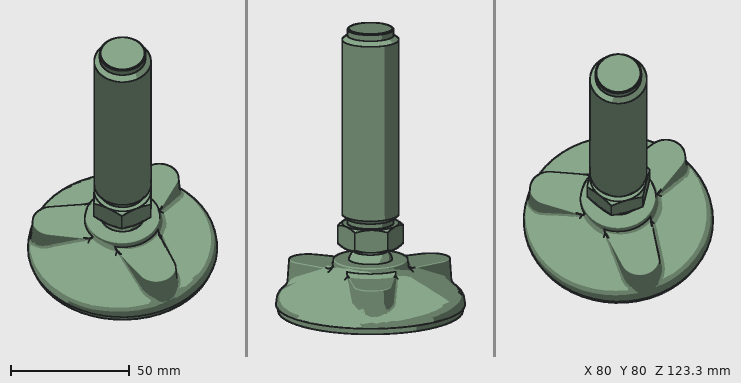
import cadquery as cq
import math

TOTAL_HEIGHT = 123.3
LIP_TOP = 2.7
RIM_TOP = 4.8
CONE_BOTTOM = 8.3
CONE_TOP = 17.1
RIB_TOP = 18.7
RIB_BLEND_TOP = 20.7
BALL_CENTER = 19.5
COLLAR_TOP = 22.5
HEX_BOTTOM = 28.4
HEX_TOP = 38.2
RELIEF_TOP = 40.3
PILOT_HEIGHT = 3.1

LIP_RADIUS = 78.2 / 2
FOOT_RADIUS = 80.0 / 2
RIM_RADIUS = 39.7
CONE_BOTTOM_RADIUS = 37.2
CONE_TOP_RADIUS = 18.7
COLLAR_RADIUS = 15.8
COLLAR_EDGE = 0.5

RIB_COUNT = 3
FIRST_RIB_ANGLE = 90.0
RIB_END_DISTANCE = 29.8
RIB_END_RADIUS = 8.1
RIB_FLARE = 7.0
RIB_DRAFT = 4.0
RIB_BOTTOM = 5.5
RIB_EDGE = 0.4
RIB_FOOT_FILLET = 2.5

BALL_RADIUS = 19.5 / 2
NECK_RADIUS = 14.3 / 2
HEX_FLATS = 24.0
HEX_CHAMFER_ANGLE = 30.0
SHAFT_RADIUS = 24.0 / 2
PILOT_RADIUS = 19.5 / 2
SHAFT_CHAMFER = 1.8
PILOT_CHAMFER = 0.5

HEX_CORNER_RADIUS = HEX_FLATS / 2 / math.cos(math.pi / 6)
CONE_SLOPE = (CONE_TOP - CONE_BOTTOM) / (CONE_BOTTOM_RADIUS - CONE_TOP_RADIUS)
CONE_ANGLE = math.atan(CONE_SLOPE)


def turned(profile):
    """Close a radius-height profile and revolve it about the vertical axis."""
    return profile.close().revolve(360, (0, 0, 0), (0, 1, 0))


def foot_body():
    """Lip, rim, rounded shoulder, cone and collar, without ribs or blends."""
    profile = (
        cq.Workplane("XZ")
        .lineTo(LIP_RADIUS, 0)
        .lineTo(LIP_RADIUS, LIP_TOP)
        .lineTo(FOOT_RADIUS, LIP_TOP)
        .lineTo(RIM_RADIUS, RIM_TOP)
        .tangentArcPoint((CONE_BOTTOM_RADIUS, CONE_BOTTOM), relative=False)
        .lineTo(COLLAR_RADIUS, CONE_TOP + (CONE_TOP_RADIUS - COLLAR_RADIUS) * CONE_SLOPE)
        .lineTo(COLLAR_RADIUS, COLLAR_TOP - COLLAR_EDGE)
        .tangentArcPoint((COLLAR_RADIUS - COLLAR_EDGE, COLLAR_TOP), relative=False)
        .lineTo(0, COLLAR_TOP)
    )
    return turned(profile)


def rib_outline(height):
    """Plan of a rib pointing along X at the given height; the draft widens it downwards."""
    flare = math.radians(RIB_FLARE)
    end_radius = RIB_END_RADIUS + (RIB_TOP - height) * math.tan(math.radians(RIB_DRAFT))
    tangent_x = RIB_END_DISTANCE + end_radius * math.sin(flare)
    tangent_y = end_radius * math.cos(flare)
    root_y = tangent_y + tangent_x * math.tan(flare)
    return (
        cq.Workplane("XY", origin=(0, 0, height))
        .moveTo(0, -root_y)
        .lineTo(tangent_x, -tangent_y)
        .threePointArc((RIB_END_DISTANCE + end_radius, 0), (tangent_x, tangent_y))
        .lineTo(0, root_y)
        .close()
    )


def rib():
    """Drafted finger with a round outer end and a flat top."""
    return (
        rib_outline(RIB_BOTTOM)
        .extrude(RIB_TOP - RIB_BOTTOM, taper=RIB_DRAFT)
        .faces(">Z").edges("not(<X)").fillet(RIB_EDGE)
    )


def on_each_rib(shape):
    """Copies of a shape made for a rib along X, one at every rib."""
    step = 360 / RIB_COUNT
    return [shape.rotate((0, 0, 0), (0, 0, 1), FIRST_RIB_ANGLE + i * step) for i in range(RIB_COUNT)]


def meets_foot(edge):
    """True for the curves where rib walls run into the cone and its rounded shoulder."""
    return edge.geomType() not in ("LINE", "CIRCLE") and edge.BoundingBox().zmax < RIB_TOP - RIB_EDGE / 2


def cone_blend():
    """Hollow ring leading from the cone up to the collar."""
    arc_radius = (CONE_TOP_RADIUS - COLLAR_RADIUS) / (1 - math.sin(CONE_ANGLE))
    arc_top = CONE_TOP + arc_radius * math.cos(CONE_ANGLE)
    profile = (
        cq.Workplane("XZ")
        .moveTo(0, RIB_BOTTOM)
        .lineTo(CONE_TOP_RADIUS, RIB_BOTTOM)
        .lineTo(CONE_TOP_RADIUS, CONE_TOP)
        .radiusArc((COLLAR_RADIUS, arc_top), arc_radius)
        .lineTo(0, arc_top)
    )
    return turned(profile)


def rib_blend():
    """Hollow step leading from the flat top of a rib up to the collar."""
    run = CONE_TOP_RADIUS - COLLAR_RADIUS
    rise = RIB_BLEND_TOP - RIB_TOP
    arc_radius = (run**2 + rise**2) / (2 * rise)
    ring = turned(
        cq.Workplane("XZ")
        .moveTo(0, CONE_TOP)
        .lineTo(CONE_TOP_RADIUS, CONE_TOP)
        .lineTo(CONE_TOP_RADIUS, RIB_TOP)
        .radiusArc((COLLAR_RADIUS, RIB_BLEND_TOP), arc_radius)
        .lineTo(0, RIB_BLEND_TOP)
    )
    return rib_outline(RIB_TOP).extrude(RIB_BLEND_TOP - RIB_TOP).intersect(ring)


def foot():
    """Foot body with filleted ribs, then the blends up to the collar."""
    body = foot_body()
    for finger in on_each_rib(rib()):
        body = body.union(finger)
    foot_edges = [edge for edge in body.edges().vals() if meets_foot(edge)]
    body = body.newObject(foot_edges).fillet(RIB_FOOT_FILLET)
    body = body.union(cone_blend())
    for step in on_each_rib(rib_blend()):
        body = body.union(step)
    return body


def spindle():
    """Ball joint, neck, relief, threaded shaft blank and end pilot turned as one piece."""
    neck_rise = math.sqrt(BALL_RADIUS**2 - NECK_RADIUS**2)
    profile = (
        cq.Workplane("XZ")
        .moveTo(0, BALL_CENTER)
        .lineTo(BALL_RADIUS, BALL_CENTER)
        .radiusArc((NECK_RADIUS, BALL_CENTER + neck_rise), -BALL_RADIUS)
        .lineTo(NECK_RADIUS, HEX_BOTTOM)
        .lineTo(PILOT_RADIUS, HEX_BOTTOM)
        .lineTo(PILOT_RADIUS, RELIEF_TOP)
        .lineTo(SHAFT_RADIUS, RELIEF_TOP + SHAFT_CHAMFER)
        .lineTo(SHAFT_RADIUS, TOTAL_HEIGHT - PILOT_HEIGHT - SHAFT_CHAMFER)
        .lineTo(PILOT_RADIUS, TOTAL_HEIGHT - PILOT_HEIGHT)
        .lineTo(PILOT_RADIUS, TOTAL_HEIGHT - PILOT_CHAMFER)
        .lineTo(PILOT_RADIUS - PILOT_CHAMFER, TOTAL_HEIGHT)
        .lineTo(0, TOTAL_HEIGHT)
    )
    return turned(profile)


def hexagon():
    """Wrench hexagon with its corners chamfered at both ends."""
    drop = (HEX_CORNER_RADIUS - HEX_FLATS / 2) * math.tan(math.radians(HEX_CHAMFER_ANGLE))
    prism = (
        cq.Workplane("XY", origin=(0, 0, HEX_BOTTOM))
        .polygon(6, 2 * HEX_CORNER_RADIUS)
        .extrude(HEX_TOP - HEX_BOTTOM)
    )
    envelope = turned(
        cq.Workplane("XZ")
        .moveTo(0, HEX_BOTTOM)
        .lineTo(HEX_FLATS / 2, HEX_BOTTOM)
        .lineTo(HEX_CORNER_RADIUS, HEX_BOTTOM + drop)
        .lineTo(HEX_CORNER_RADIUS, HEX_TOP - drop)
        .lineTo(HEX_FLATS / 2, HEX_TOP)
        .lineTo(0, HEX_TOP)
    )
    return prism.intersect(envelope)


result = foot().union(spindle()).union(hexagon())